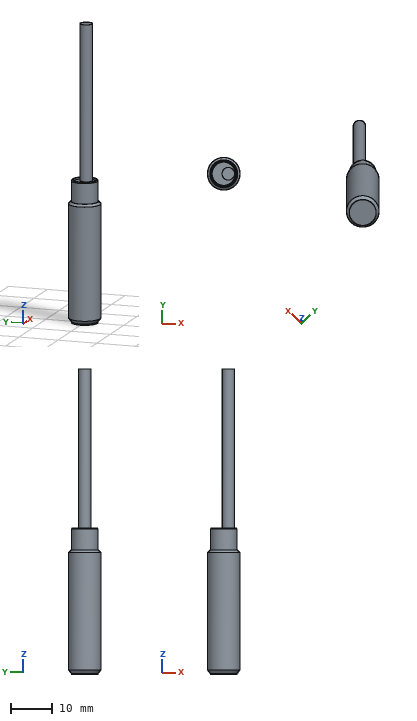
import cadquery as cq

total_length = 74.5
housing_diameter = 8.0
neck_diameter = 6.55
cable_diameter = 3.05
cable_offset = 1.1

face_cap_top = 0.3
housing_top = 30.3
neck_top = 35.7

housing_bottom_chamfer_height = 0.9
housing_top_chamfer_height = 0.6
neck_chamfer = 0.2
housing_bottom_chamfer_width = (housing_diameter - neck_diameter) / 2
housing_top_chamfer_width = 0.6

recess_diameter = 5.65
recess_depth = 0.45
recess_floor = neck_top - recess_depth


def cylinder(diameter, bottom, top, x=0.0):
    """Upright cylinder between two levels."""
    return cq.Workplane("XY", origin=(x, 0, bottom)).circle(diameter / 2).extrude(top - bottom)


def make_face_cap():
    """Thin disc closing the lower end of the housing."""
    return cylinder(neck_diameter, 0, face_cap_top)


def make_housing():
    """Main barrel, chamfered at both ends."""
    barrel = cylinder(housing_diameter, face_cap_top, housing_top)
    barrel = barrel.faces("<Z").chamfer(housing_bottom_chamfer_height, housing_bottom_chamfer_width)
    return barrel.faces(">Z").chamfer(housing_top_chamfer_height, housing_top_chamfer_width)


def make_neck():
    """Cable gland standing on the housing, with a chamfered rim and a recessed top."""
    neck = cylinder(neck_diameter, housing_top, neck_top)
    neck = neck.faces(">Z").chamfer(neck_chamfer)
    return neck.cut(cylinder(recess_diameter, recess_floor, neck_top))


def make_cable():
    """Straight cable rising from the recess floor of the neck."""
    return cylinder(cable_diameter, recess_floor, total_length, cable_offset)


face_cap = make_face_cap()
housing = make_housing()
neck = make_neck()
cable = make_cable()

result = cq.Compound.makeCompound([face_cap.val(), housing.val(), neck.val(), cable.val()])